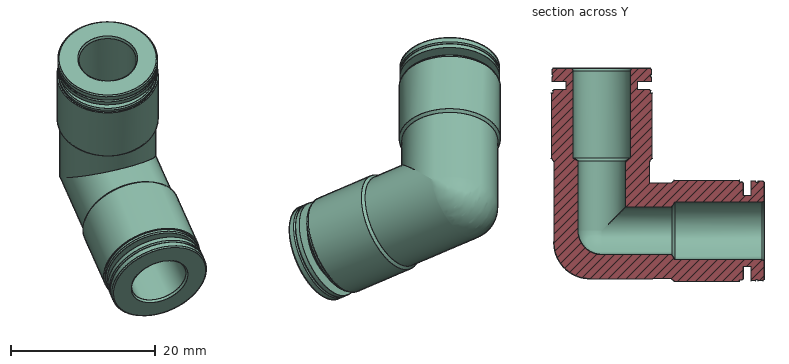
import cadquery as cq

overall_length = 29.5
body_diameter = 14.0
tube_diameter = 13.3
cap_diameter = 13.6
flange_diameter = 13.8
groove_diameter = 13.45
stem_diameter = 9.9
bore_diameter = 7.9
mouth_diameter = 8.25
passage_diameter = 6.5

outer_flange_end = 0.88
inner_flange_start = 1.25
stem_start = 1.85
cap_start = 2.92
body_start = 3.45
shoulder_start = 12.48
shoulder_length = 0.38
bore_depth = 12.4
seat_depth = 12.8
rim_chamfer = 0.18
mouth_chamfer_depth = 0.35

leg_length = overall_length - body_diameter / 2
heel_offset = 1.53


def revolve_profile(points):
    """Revolve (diameter, distance from the open end) pairs about Z."""
    profile = [(diameter / 2, leg_length - depth) for diameter, depth in points]
    axis_points = [(0, profile[-1][1]), (0, profile[0][1])]
    outline = cq.Workplane("XZ").polyline(profile + axis_points).close()
    return outline.revolve(360, (0, 0), (0, 1))


def to_x_leg(shape):
    """Mirror the Z leg across the X = Z mitre plane."""
    return shape.rotate((0, 0, 0), (0, 1, 0), 90).mirror("XY")


def make_tube():
    """Tube of the Z leg, ending on the mitre and at the start of the round heel."""
    top = leg_length - shoulder_start
    reach = tube_diameter
    tube = cq.Workplane("XY").workplane(offset=-reach).circle(tube_diameter / 2).extrude(top + reach)
    keep = (
        cq.Workplane("XZ")
        .polyline([(-reach, -heel_offset), (-heel_offset, -heel_offset), (reach, reach), (-reach, reach)])
        .close()
        .extrude(reach, both=True)
    )
    return tube.intersect(keep)


def make_heel():
    """Outer part of the tube section swept a quarter turn around the heel pivot."""
    radius = tube_diameter / 2
    half_chord = (radius**2 - heel_offset**2) ** 0.5
    return (
        cq.Workplane("XY", origin=(0, 0, -heel_offset))
        .moveTo(-heel_offset, -half_chord)
        .threePointArc((-radius, 0), (-heel_offset, half_chord))
        .close()
        .revolve(90, (-heel_offset, 0), (-heel_offset, -1))
    )


def make_end():
    """Body sleeve, cap, stem and grooved release ring of the Z leg."""
    return revolve_profile([
        (flange_diameter - 2 * rim_chamfer, 0),
        (flange_diameter, rim_chamfer),
        (flange_diameter, outer_flange_end),
        (groove_diameter, (outer_flange_end + inner_flange_start) / 2),
        (flange_diameter, inner_flange_start),
        (flange_diameter, stem_start),
        (stem_diameter, stem_start),
        (stem_diameter, cap_start),
        (cap_diameter - 2 * rim_chamfer, cap_start),
        (cap_diameter, cap_start + rim_chamfer),
        (cap_diameter, body_start),
        (body_diameter, body_start),
        (body_diameter, shoulder_start),
        (tube_diameter, shoulder_start + shoulder_length),
    ])


def make_bore():
    """Stepped bore of the Z leg down to the point where the axes meet."""
    return revolve_profile([
        (mouth_diameter, 0),
        (bore_diameter, mouth_chamfer_depth),
        (bore_diameter, bore_depth),
        (passage_diameter, seat_depth),
        (passage_diameter, leg_length),
    ])


tube = make_tube()
end = make_end()
bore = make_bore()

result = tube.union(to_x_leg(tube)).union(make_heel()).union(end).union(to_x_leg(end))

passage_turn = cq.Workplane("XY").sphere(passage_diameter / 2)
result = result.cut(bore).cut(to_x_leg(bore)).cut(passage_turn)